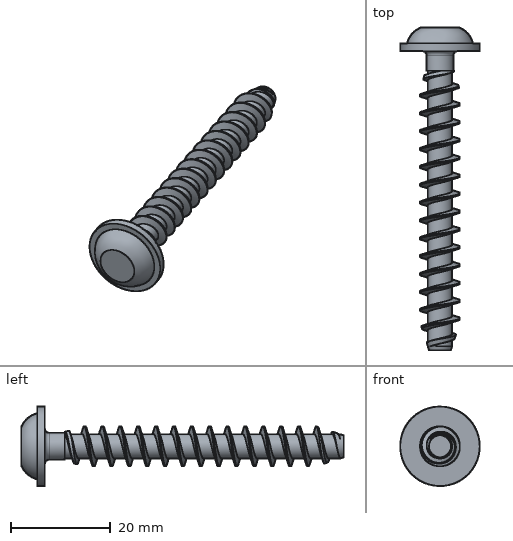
import cadquery as cq
import math

total_length = 64.8
flange_diameter = 16.0
flange_thickness = 1.55
head_height = 4.8
dome_base_radius = 6.7
dome_top_radius = 3.8
dome_bulge = 0.5

shank_radius = 2.7
neck_fillet = 0.85
smooth_shank_length = 3.95
core_radius = 2.45
tip_radius = 2.2

thread_radius = 4.0
pitch_count = 13
pitch_span = 46.6
pitch = pitch_span / pitch_count
turns = 16
crest_width = 0.25
flank_angle = 15.0
root_overlap = 0.3
seam_turn = 90.0
thread_start = -0.85
tip_fade_length = 5.5
head_fade_start = 52.15
head_fade_radius = 2.9
envelope_clearance = 0.65

flange_bottom = total_length - head_height
flange_top = flange_bottom + flange_thickness
shank_bottom = flange_bottom - smooth_shank_length


def revolve_profile(profile):
    """Close an XZ half profile and turn it about the Z axis."""
    return profile.close().revolve(360, (0, 0, 0), (0, 1, 0))


def make_head_and_shank():
    """Domed flange head, fillet and smooth shank in one turned body."""
    flange_radius = flange_diameter / 2
    chord_r = dome_base_radius - dome_top_radius
    chord_z = total_length - flange_top
    chord = math.hypot(chord_r, chord_z)
    dome_middle = (
        (dome_base_radius + dome_top_radius) / 2 + dome_bulge * chord_z / chord,
        (flange_top + total_length) / 2 + dome_bulge * chord_r / chord,
    )
    arc_inset = neck_fillet * (1 - math.sqrt(0.5))
    fillet_middle = (shank_radius + arc_inset, flange_bottom - arc_inset)
    profile = (
        cq.Workplane("XZ")
        .moveTo(0, shank_bottom)
        .lineTo(shank_radius, shank_bottom)
        .lineTo(shank_radius, flange_bottom - neck_fillet)
        .threePointArc(fillet_middle, (shank_radius + neck_fillet, flange_bottom))
        .lineTo(flange_radius, flange_bottom)
        .lineTo(flange_radius, flange_top)
        .lineTo(dome_base_radius, flange_top)
        .threePointArc(dome_middle, (dome_top_radius, total_length))
        .lineTo(0, total_length)
    )
    return revolve_profile(profile)


def make_threaded_core():
    """Core with a helical rib that fades out towards the bevelled tip and the shank."""
    root_radius = core_radius - root_overlap
    half_crest = crest_width / 2
    half_root = half_crest + (thread_radius - root_radius) * math.tan(math.radians(flank_angle))
    helix = cq.Wire.makeHelix(pitch, pitch * turns, root_radius, center=cq.Vector(0, 0, thread_start))
    rib = (
        cq.Workplane("XZ")
        .moveTo(root_radius, thread_start - half_root)
        .lineTo(thread_radius, thread_start - half_crest)
        .lineTo(thread_radius, thread_start + half_crest)
        .lineTo(root_radius, thread_start + half_root)
        .close()
        .sweep(cq.Workplane(obj=helix), isFrenet=True)
    )
    clear_radius = thread_radius + envelope_clearance
    tip_slope = tip_fade_length / (thread_radius - tip_radius)
    head_slope = (shank_bottom - head_fade_start) / (thread_radius - head_fade_radius)
    envelope = revolve_profile(
        cq.Workplane("XZ")
        .lineTo(tip_radius, 0)
        .lineTo(clear_radius, tip_slope * (clear_radius - tip_radius))
        .lineTo(clear_radius, shank_bottom - head_slope * (clear_radius - head_fade_radius))
        .lineTo(head_fade_radius, shank_bottom)
        .lineTo(0, shank_bottom)
    ).rotate((0, 0, 0), (0, 0, 1), seam_turn)
    core_bottom = thread_start - pitch
    core = (
        cq.Workplane("XY", origin=(0, 0, core_bottom))
        .circle(core_radius)
        .extrude(total_length - core_bottom)
        .rotate((0, 0, 0), (0, 0, 1), seam_turn)
    )
    return core.union(rib).intersect(envelope)


upright_screw = make_head_and_shank().union(make_threaded_core())
result = upright_screw.rotate((0, 0, 0), (1, 0, 0), -90)